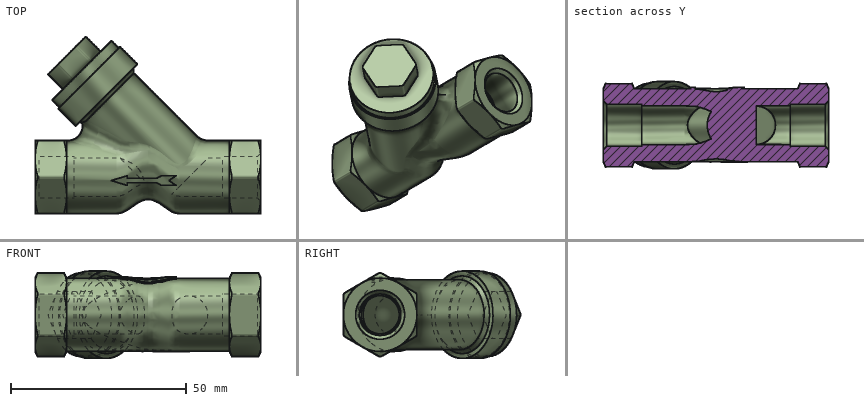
import cadquery as cq
import math

length = 64.5
body_radius = 10.5
hex_width = 2 * body_radius
hex_length = 9.0
hex_corner_radius = 1.0
hex_chamfer_length = 0.8

waist_half_length = 9.0
waist_depth = 4.1
waist_steps = 4

branch_angle = 45.0
branch_foot_x = 11.55
branch_radius = 10.0
branch_fillet = 4.0
collar_radius = 11.1

trim_size = 20.0
seam_tolerance = 0.001

cap_start = 33.1
cap_radius = 12.5
cap_length = 7.0
flange_radius = 12.0
flange_length = 3.0
head_width = 13.5
head_length = 6.0
head_corner_radius = 1.0

mouth_diameter = 14.0
thread_diameter = 11.89
bore_diameter = 10.89
thread_depth = 11.0

arrow_height = 0.4
arrow_y = -1.0
arrow_tip_x = -10.5
arrow_head_length = 4.6
arrow_tail_x = 8.0
arrow_notch_length = 2.0
arrow_fletch_length = 5.5
arrow_half_width = 1.4
arrow_shaft_half_width = 0.65

half_length = length / 2
branch_plane = cq.Plane(
    origin=(branch_foot_x, 0, 0),
    xDir=(0, 0, 1),
    normal=(-math.cos(math.radians(branch_angle)), math.sin(math.radians(branch_angle)), 0),
)


def x_cylinder(radius, start, end):
    return cq.Workplane("YZ", origin=(start, 0, 0)).circle(radius).extrude(end - start)


def branch_cylinder(radius, start, end):
    return cq.Workplane(branch_plane).workplane(offset=start).circle(radius).extrude(end - start)


def corner_diameter(hex_size):
    """Diameter across the sharp corners of a hexagon, from its size across flats."""
    return hex_size / math.cos(math.pi / 6)


def hex_prism(plane, width, height, corner_radius):
    """Hexagon with rounded corners, two of them on the local X axis of the plane."""
    prism = cq.Workplane(plane).polygon(6, corner_diameter(width)).extrude(height)
    corners = cq.selectors.ParallelDirSelector(plane.zDir)
    return prism.edges(corners).fillet(corner_radius)


def waist_section(x, radius):
    """Round cross-section of the waist; its centre swings toward +Y by the depth of the dip."""
    shift = waist_depth * (1 + math.cos(math.pi * x / waist_half_length)) / 2
    centre = cq.Vector(x, shift, 0)
    section_plane = cq.Plane(origin=centre, xDir=(0, 1, 0), normal=(1, 0, 0))
    return cq.Workplane(section_plane).circle(radius).wires().val()


def waist_half(start, end, radius):
    step = (end - start) / waist_steps
    sections = [waist_section(start + i * step, radius) for i in range(waist_steps + 1)]
    return cq.Workplane(cq.Solid.makeLoft(sections))


def run_pipe(radius):
    """Solid rod of the given radius along the run pipe, following its waist."""
    pipe = x_cylinder(radius, -half_length, -waist_half_length)
    pipe = pipe.union(waist_half(-waist_half_length, 0, radius))
    pipe = pipe.union(waist_half(0, waist_half_length, radius))
    return pipe.union(x_cylinder(radius, waist_half_length, half_length))


def distance_from_branch_axis(point):
    along = (point - branch_plane.origin).dot(branch_plane.zDir)
    foot = branch_plane.origin + branch_plane.zDir * along
    return (point - foot).Length


def pipe_with_branch():
    """Run pipe blended into the branch tube, which is trimmed at the cap."""
    joined = run_pipe(body_radius).union(branch_cylinder(branch_radius, 0, cap_start + trim_size))
    seam = [
        edge
        for edge in joined.edges("not(%LINE or %CIRCLE)").vals()
        if abs(distance_from_branch_axis(edge.positionAt(0.5)) - branch_radius) < seam_tolerance
    ]
    blended = joined.newObject(seam).fillet(branch_fillet)
    return blended.cut(branch_cylinder(trim_size, cap_start, cap_start + 2 * trim_size))


def end_hex(start):
    """Union hexagon with both of its ends chamfered round."""
    plane = cq.Plane(origin=(start, 0, 0), xDir=(0, 0, 1), normal=(1, 0, 0))
    prism = hex_prism(plane, hex_width, hex_length, hex_corner_radius)
    crest_radius = corner_diameter(hex_width) / 2
    envelope = (
        cq.Workplane("XY")
        .moveTo(start, 0)
        .lineTo(start, body_radius)
        .lineTo(start + hex_chamfer_length, crest_radius)
        .lineTo(start + hex_length - hex_chamfer_length, crest_radius)
        .lineTo(start + hex_length, body_radius)
        .lineTo(start + hex_length, 0)
        .close()
        .revolve(360, (0, 0, 0), (1, 0, 0))
    )
    return prism.intersect(envelope)


def cap():
    """Conical collar, round cap, flange and hexagonal head on the branch."""
    collar_length = collar_radius - branch_radius
    collar = (
        cq.Workplane(branch_plane)
        .workplane(offset=cap_start - collar_length)
        .circle(branch_radius)
        .workplane(offset=collar_length)
        .circle(collar_radius)
        .loft()
    )
    flange_start = cap_start + cap_length
    head_start = flange_start + flange_length
    body = branch_cylinder(cap_radius, cap_start, flange_start)
    flange = branch_cylinder(flange_radius, flange_start, head_start)
    in_plane = branch_plane.zDir.cross(cq.Vector(0, 0, 1))
    head_plane = cq.Plane(
        origin=branch_plane.origin + branch_plane.zDir * head_start,
        xDir=in_plane,
        normal=branch_plane.zDir,
    )
    head = hex_prism(head_plane, head_width, head_length, head_corner_radius)
    return collar.union(body).union(flange).union(head)


def flow_arrow():
    """Arrow outline raised by arrow_height above the run pipe."""
    neck_x = arrow_tip_x + arrow_head_length
    fletch_x = arrow_tail_x - arrow_fletch_length
    half_outline = [
        (neck_x, arrow_half_width),
        (neck_x, arrow_shaft_half_width),
        (fletch_x, arrow_shaft_half_width),
        (fletch_x + arrow_half_width, arrow_half_width),
        (arrow_tail_x, arrow_half_width),
    ]
    mirrored = [(x, -y) for x, y in reversed(half_outline)]
    notch = (arrow_tail_x - arrow_notch_length, 0)
    outline = [(arrow_tip_x, 0)] + half_outline + [notch] + mirrored
    prism = cq.Workplane("XY", origin=(0, arrow_y, 0)).polyline(outline).close().extrude(2 * body_radius)
    return prism.intersect(run_pipe(body_radius + arrow_height))


def port(direction):
    """Threaded port with a countersunk mouth; direction is the sign of X at its open end."""
    mouth_depth = (mouth_diameter - thread_diameter) / 2
    profile = (
        cq.Workplane("XY")
        .moveTo(half_length, 0)
        .lineTo(half_length, mouth_diameter / 2)
        .lineTo(half_length - mouth_depth, thread_diameter / 2)
        .lineTo(half_length - thread_depth, thread_diameter / 2)
        .lineTo(half_length - thread_depth, 0)
        .close()
    )
    shape = profile.revolve(360, (0, 0, 0), (1, 0, 0))
    return shape if direction > 0 else shape.mirror("YZ")


def inner_passages():
    """Bore that follows the waist, blocked by the solid branch, with a port at each end."""
    bore = run_pipe(bore_diameter / 2).cut(branch_cylinder(branch_radius, 0, cap_start))
    return bore.union(port(-1)).union(port(1))


result = (
    pipe_with_branch()
    .union(end_hex(-half_length))
    .union(end_hex(half_length - hex_length))
    .union(cap())
    .union(flow_arrow())
    .cut(inner_passages())
)